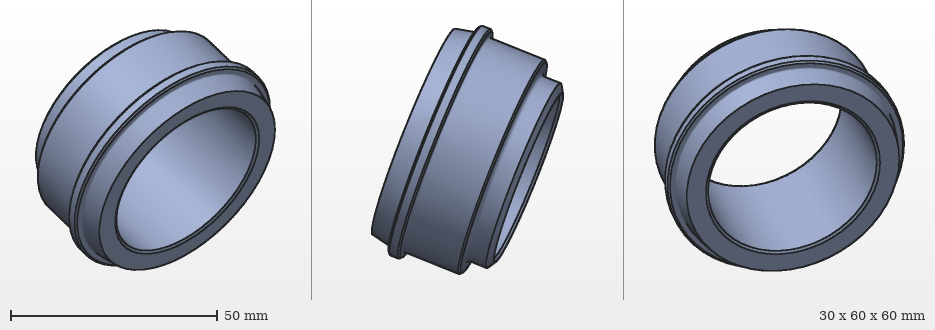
import cadquery as cq

length = 30.0
bore_radius = 42.7 / 2
nose_radius = 48.3 / 2
body_radius = 56.0 / 2
flange_radius = 60.0 / 2

shoulder_from_nose = 6.5
flange_start_from_nose = 21.5
flange_width = 3.1

nose_chamfer_length = 1.25
nose_face_radius = 22.15
mouth_radius = 21.9
mouth_chamfer_length = 0.7
shoulder_fillet = 0.95
body_chamfer = 0.5
flange_chamfer_length = 0.5
flange_chamfer_depth = 0.5
flange_fillet = 0.4
tail_end_radius = 26.95
tail_mouth_chamfer_length = 0.4
tail_mouth_chamfer_depth = 0.7

nose_x = -length / 2
tail_x = length / 2
shoulder_x = nose_x + shoulder_from_nose
flange_start_x = nose_x + flange_start_from_nose
flange_end_x = flange_start_x + flange_width
tail_start_x = flange_end_x + flange_fillet


def fillet_middle(centre_x, centre_radius, fillet, x_direction):
    """Midpoint of a concave quarter arc on the axis side of its centre."""
    offset = fillet * 0.5**0.5
    return (centre_x + x_direction * offset, centre_radius - offset)


section = (
    cq.Workplane("XY")
    .moveTo(nose_x + mouth_chamfer_length, bore_radius)
    .lineTo(nose_x, mouth_radius)
    .lineTo(nose_x, nose_face_radius)
    .lineTo(nose_x + nose_chamfer_length, nose_radius)
    .lineTo(shoulder_x - shoulder_fillet, nose_radius)
    .threePointArc(
        fillet_middle(shoulder_x - shoulder_fillet, nose_radius + shoulder_fillet, shoulder_fillet, 1),
        (shoulder_x, nose_radius + shoulder_fillet),
    )
    .lineTo(shoulder_x, body_radius - body_chamfer)
    .lineTo(shoulder_x + body_chamfer, body_radius)
    .lineTo(flange_start_x - flange_fillet, body_radius)
    .threePointArc(
        fillet_middle(flange_start_x - flange_fillet, body_radius + flange_fillet, flange_fillet, 1),
        (flange_start_x, body_radius + flange_fillet),
    )
    .lineTo(flange_start_x, flange_radius - flange_chamfer_depth)
    .lineTo(flange_start_x + flange_chamfer_length, flange_radius)
    .lineTo(flange_end_x - flange_chamfer_length, flange_radius)
    .lineTo(flange_end_x, flange_radius - flange_chamfer_depth)
    .lineTo(flange_end_x, body_radius + flange_fillet)
    .threePointArc(
        fillet_middle(tail_start_x, body_radius + flange_fillet, flange_fillet, -1),
        (tail_start_x, body_radius),
    )
    .lineTo(tail_x, tail_end_radius)
    .lineTo(tail_x, bore_radius + tail_mouth_chamfer_depth)
    .lineTo(tail_x - tail_mouth_chamfer_length, bore_radius)
    .close()
)

result = section.revolve(360, (0, 0, 0), (1, 0, 0))